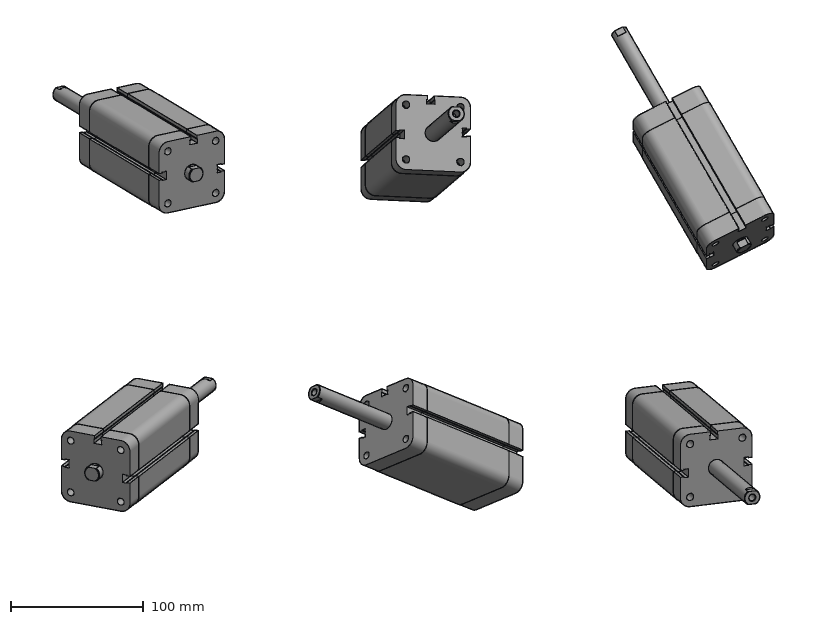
import cadquery as cq

ROD_LENGTH = 199.0
CASE_START = 76.2
CASE_END = 192.5
COVER_LENGTH = 15.0

TUBE_WIDTH = 58.0
COVER_WIDTH = 57.5
TUBE_CORNER_RADIUS = 8.0
COVER_INSET = (TUBE_WIDTH - COVER_WIDTH) / 2
COVER_CORNER_RADIUS = TUBE_CORNER_RADIUS - COVER_INSET

SLOT_OFFSET = 1.8
SLOT_MOUTH_WIDTH = 5.4
SLOT_MOUTH_DEPTH = 3.2
SLOT_FLOOR_WIDTH = 6.5
SLOT_DEPTH = 6.5
SLOT_TURNS = (0, 90, -90)

BOLT_SPACING = 42.0
BOLT_HOLE_DIAMETER = 5.5

ROD_DIAMETER = 12.5
FLAT_SPACING = 10.3
FRONT_FLAT_LENGTH = 5.0
REAR_FLAT_LENGTH = 5.4
FLAT_RUNOUT_LENGTH = 0.5
FRONT_CHAMFER = 0.4
REAR_CHAMFER = 0.5
BORE_DIAMETER = 5.0
BORE_CHAMFER = 0.4
BORE_DEPTH = 12.0
BORE_POINT_DEPTH = 1.5


def along_x(start):
    """Sketch plane across the rod axis at X = start, with +Y as local x and +Z as local y."""
    return cq.Workplane("YZ", origin=(start, 0, 0))


def slot_cutters(start, length):
    """The three T-slots: one in the top and one in each of the two sides."""
    top = TUBE_WIDTH / 2
    floor = top - SLOT_DEPTH
    step = top - SLOT_MOUTH_DEPTH
    mouth = along_x(start).center(SLOT_OFFSET, (floor + top) / 2).rect(SLOT_MOUTH_WIDTH, SLOT_DEPTH)
    undercut = along_x(start).center(SLOT_OFFSET, (floor + step) / 2).rect(SLOT_FLOOR_WIDTH, step - floor)
    slot = mouth.extrude(length).union(undercut.extrude(length))
    return [slot.rotate((0, 0, 0), (1, 0, 0), turn) for turn in SLOT_TURNS]


def case_section(start, length, width, corner_radius):
    """A rounded square length of the case with slots, bolt holes and the hole for the rod."""
    section = along_x(start).rect(width, width).extrude(length).edges("|X").fillet(corner_radius)
    for slot in slot_cutters(start, length):
        section = section.cut(slot)
    bolt_holes = (
        along_x(start)
        .rect(BOLT_SPACING, BOLT_SPACING, forConstruction=True)
        .vertices()
        .circle(BOLT_HOLE_DIAMETER / 2)
        .extrude(length)
    )
    rod_hole = along_x(start).circle(ROD_DIAMETER / 2).extrude(length)
    return section.cut(bolt_holes).cut(rod_hole)


def make_tube():
    start = CASE_START + COVER_LENGTH
    length = CASE_END - CASE_START - 2 * COVER_LENGTH
    return case_section(start, length, TUBE_WIDTH, TUBE_CORNER_RADIUS)


def make_cover(start):
    return case_section(start, COVER_LENGTH, COVER_WIDTH, COVER_CORNER_RADIUS)


def flat_cutter(end, inward, length):
    """A block that mills a flat on top of the rod from one end; the inner end of the flat slopes up."""
    flat_height = FLAT_SPACING / 2
    rod_top = ROD_DIAMETER / 2
    flat_end = end + inward * length
    runout_end = flat_end + inward * FLAT_RUNOUT_LENGTH
    profile = cq.Workplane("XZ").polyline(
        [(end, flat_height), (flat_end, flat_height), (runout_end, rod_top), (end, rod_top)]
    )
    return profile.close().extrude(ROD_DIAMETER / 2, both=True)


def make_bore():
    """Blind hole in the front end of the rod, with a chamfered mouth and a conical bottom."""
    radius = BORE_DIAMETER / 2
    profile = (
        cq.Workplane("XZ")
        .lineTo(0, radius + BORE_CHAMFER)
        .lineTo(BORE_CHAMFER, radius)
        .lineTo(BORE_DEPTH, radius)
        .lineTo(BORE_DEPTH + BORE_POINT_DEPTH, 0)
    )
    return profile.close().revolve(360, (0, 0, 0), (1, 0, 0))


def make_rod():
    rod = along_x(0).circle(ROD_DIAMETER / 2).extrude(ROD_LENGTH)
    rod = rod.faces("<X").chamfer(FRONT_CHAMFER)
    rod = rod.faces(">X").chamfer(REAR_CHAMFER)
    flats = (
        flat_cutter(0, 1, FRONT_FLAT_LENGTH),
        flat_cutter(ROD_LENGTH, -1, REAR_FLAT_LENGTH),
    )
    for flat in flats:
        rod = rod.cut(flat).cut(flat.mirror("XY"))
    return rod.cut(make_bore())


tube = make_tube()
covers = [make_cover(start) for start in (CASE_START, CASE_END - COVER_LENGTH)]
rod = make_rod()

result = cq.Compound.makeCompound([tube.val(), *[cover.val() for cover in covers], rod.val()])